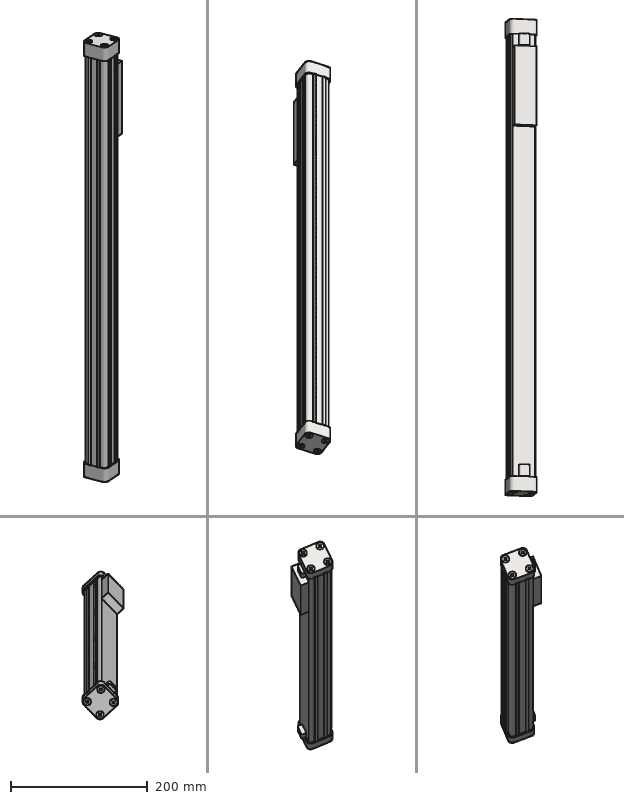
import cadquery as cq
import math

total_length = 700.0
cap_width = 41.0
cap_length = 22.0
cap_corner_radius = 6.5

pad_diameter = 11.0
pad_height = 0.4
pad_spacing = 27.0
thread_hole_diameter = 4.13
thread_hole_depth = 10.0

profile_half_width = 20.0
profile_top_y = 18.0
ledge_half_width = 16.5
lobe_center = 13.0
lobe_diameter = 11.0
rail_inner_offset = 5.3
rail_outer_offset = 9.5
rail_bottom_y = -21.5
rail_slot_depth = 1.7

carriage_length = 117.0
carriage_width = 33.0
carriage_top_y = 31.0
carriage_center_from_top = 100.0

clamp_width = 15.0
clamp_top_y = 25.4
clamp_corner_radius = 2.0
clamp_length = 17.0

cap_end_z = total_length / 2
profile_end_z = cap_end_z - cap_length
profile_length = 2 * profile_end_z
lobe_radius = lobe_diameter / 2
lobe_reach = lobe_center + lobe_radius
side_slot_x = profile_half_width - rail_slot_depth
underside_slot_y = rail_bottom_y + rail_slot_depth
lobe_end_offset = lobe_center - rail_outer_offset
lobe_end_x = lobe_center + math.sqrt(lobe_radius**2 - lobe_end_offset**2)
lobe_diagonal = lobe_center + lobe_radius / math.sqrt(2)


def make_profile_half():
    """Right half (+X) of the extruded profile: round corner lobes and rails beside shallow slots."""
    return (
        cq.Workplane("XY", origin=(0, 0, -profile_end_z))
        .moveTo(0, underside_slot_y)
        .lineTo(rail_inner_offset, underside_slot_y)
        .lineTo(rail_inner_offset, rail_bottom_y)
        .lineTo(rail_outer_offset, rail_bottom_y)
        .lineTo(rail_outer_offset, -lobe_reach)
        .lineTo(lobe_center, -lobe_reach)
        .threePointArc((lobe_diagonal, -lobe_diagonal), (lobe_end_x, -rail_outer_offset))
        .lineTo(profile_half_width, -rail_outer_offset)
        .lineTo(profile_half_width, -rail_inner_offset)
        .lineTo(side_slot_x, -rail_inner_offset)
        .lineTo(side_slot_x, rail_inner_offset)
        .lineTo(profile_half_width, rail_inner_offset)
        .lineTo(profile_half_width, rail_outer_offset)
        .lineTo(lobe_end_x, rail_outer_offset)
        .threePointArc((lobe_reach, lobe_center), (lobe_end_x, lobe_center + lobe_end_offset))
        .lineTo(ledge_half_width, profile_top_y)
        .lineTo(0, profile_top_y)
        .close()
        .extrude(profile_length)
    )


def make_carriage():
    """Carriage block seated on the top face of the profile."""
    height = carriage_top_y - profile_top_y
    center = (0, profile_top_y + height / 2, cap_end_z - carriage_center_from_top)
    return cq.Workplane("XY", origin=center).box(carriage_width, height, carriage_length)


def make_band_clamp(start_z):
    """Rounded clamp over the sealing band, from start_z upward."""
    height = clamp_top_y - profile_top_y
    return (
        cq.Workplane("XY", origin=(0, profile_top_y + height / 2, start_z))
        .rect(clamp_width, height)
        .extrude(clamp_length)
        .edges("|Z and >Y")
        .fillet(clamp_corner_radius)
    )


def make_guide():
    """Profile with its carriage and the band clamp at each end."""
    half = make_profile_half()
    guide = half.union(half.mirror("YZ")).union(make_carriage())
    for start_z in (-profile_end_z, profile_end_z - clamp_length):
        guide = guide.union(make_band_clamp(start_z))
    return guide


def make_end_cap(end):
    """End cap at the top (end = 1) or bottom (end = -1), with four threaded corner pads."""
    body = (
        cq.Workplane("XY")
        .workplane(offset=profile_end_z)
        .rect(cap_width, cap_width)
        .extrude(cap_length)
        .edges("|Z")
        .fillet(cap_corner_radius)
    )
    pads = (
        cq.Workplane("XY")
        .workplane(offset=cap_end_z)
        .rect(pad_spacing, pad_spacing, forConstruction=True)
        .vertices()
        .circle(pad_diameter / 2)
        .extrude(pad_height)
    )
    cap = (
        body.union(pads)
        .faces(">Z")
        .workplane(origin=(0, 0, 0))
        .rect(pad_spacing, pad_spacing, forConstruction=True)
        .vertices()
        .hole(thread_hole_diameter, thread_hole_depth)
    )
    return cap if end > 0 else cap.mirror("XY")


guide = make_guide()
end_caps = [make_end_cap(end) for end in (1, -1)]

result = cq.Compound.makeCompound([guide.val(), *[cap.val() for cap in end_caps]])